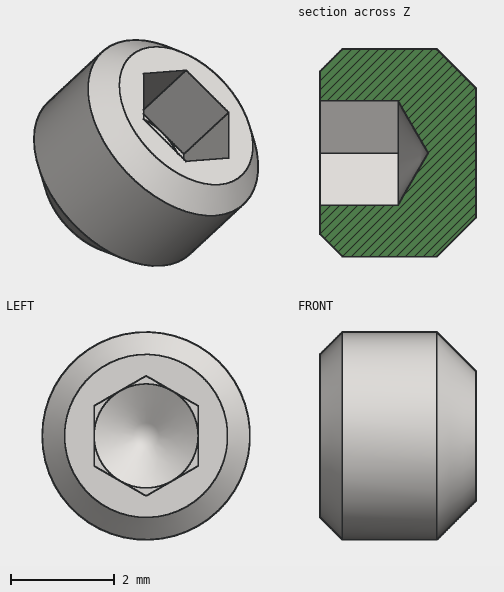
import cadquery as cq
import math

length = 3.0
diameter = 4.0
socket_chamfer = 0.43
point_chamfer = 0.75

socket_width = 2.0
socket_depth = 1.5
drill_point_angle = 120.0


def make_body():
    """Cylinder with a 45 degree chamfer at each end."""
    body = cq.Workplane("YZ").circle(diameter / 2).extrude(length)
    body = body.faces("<X").chamfer(socket_chamfer)
    return body.faces(">X").chamfer(point_chamfer)


def make_socket():
    """Hexagonal recess with corners on the Z axis, ending in a cone."""
    corner_diameter = socket_width / math.cos(math.pi / 6)
    hexagon = (
        cq.Workplane("YZ")
        .transformed(rotate=(0, 0, 90))
        .polygon(6, corner_diameter)
        .extrude(socket_depth)
    )
    cone_radius = socket_width / 2
    cone_height = cone_radius / math.tan(math.radians(drill_point_angle / 2))
    cone = cq.Solid.makeCone(
        cone_radius, 0, cone_height, cq.Vector(socket_depth, 0, 0), cq.Vector(1, 0, 0)
    )
    return hexagon.union(cq.Workplane(cone))


result = make_body().cut(make_socket())